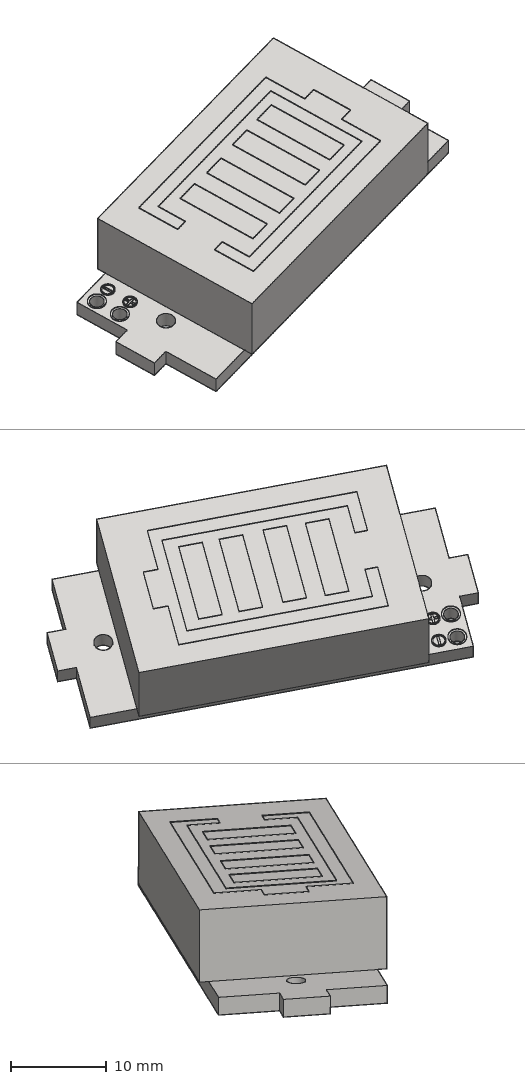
import cadquery as cq

total_length = 45.0
total_height = 10.0

plate_width = 18.0
plate_length = 41.0
plate_thickness = 2.0
tab_width = 5.0

housing_width = 20.0
housing_length = 31.0
housing_height = total_height - plate_thickness

mount_hole_diameter = 2.0
mount_hole_y = 17.05

terminal_xs = (-7.42, -4.45)
terminal_y = -19.12
terminal_hole_diameter = 1.55
terminal_recess_diameter = 2.0
terminal_recess_depth = 0.1

minus_mark_x = -7.45
plus_mark_x = -4.6
mark_y = -17.15
mark_diameter = 1.55
mark_ring_width = 0.15
mark_bar_length = 1.1
mark_bar_width = 0.22
mark_depth = 0.1

symbol_depth = 0.1
frame_half_width = 7.42
frame_top = 10.65
frame_bottom = -11.75
frame_inner_half_width = 5.9
frame_inner_top = 9.45
frame_inner_bottom = -10.4
contact_half_width = 2.4
contact_top = 12.25
charge_bar_width = 9.4
charge_bar_height = 2.5
charge_bar_centres = ((0, 6.65), (0, 2.35), (0.15, -2.4), (0, -6.9))


def centred_block(width, length, height, base_z):
    """Box centred on the Z axis, standing on base_z."""
    return cq.Workplane("XY").workplane(offset=base_z).rect(width, length).extrude(height)


def plate():
    """Base plate with an end tab on each short side and its mounting holes."""
    body = centred_block(plate_width, plate_length, plate_thickness, 0)
    body = body.union(centred_block(tab_width, total_length, plate_thickness, 0))
    mount_holes = (
        cq.Workplane("XY")
        .pushPoints([(0, mount_hole_y), (0, -mount_hole_y)])
        .circle(mount_hole_diameter / 2)
        .extrude(plate_thickness)
    )
    return body.cut(mount_holes)


def terminals():
    """Cutter for the two recessed terminal holes."""
    centres = [(x, terminal_y) for x in terminal_xs]
    holes = cq.Workplane("XY").pushPoints(centres).circle(terminal_hole_diameter / 2).extrude(plate_thickness)
    recesses = (
        cq.Workplane("XY")
        .workplane(offset=plate_thickness - terminal_recess_depth)
        .pushPoints(centres)
        .circle(terminal_recess_diameter / 2)
        .extrude(terminal_recess_depth)
    )
    return holes.union(recesses)


def polarity_mark(x, is_plus):
    """Cutter for one polarity mark in the plate top."""
    plane = cq.Workplane("XY", origin=(x, mark_y, plate_thickness - mark_depth))
    inner_radius = mark_diameter / 2 - mark_ring_width
    mark = plane.circle(mark_diameter / 2).circle(inner_radius).extrude(mark_depth)
    mark = mark.union(plane.rect(mark_bar_length, mark_bar_width).extrude(mark_depth))
    if is_plus:
        mark = mark.union(plane.rect(mark_bar_width, mark_bar_length).extrude(mark_depth))
    return mark


def battery_symbol():
    """Cutter for the battery frame, open at the bottom, and its charge bars."""
    plane = cq.Workplane("XY").workplane(offset=total_height - symbol_depth)
    right_side = [
        (contact_half_width, contact_top),
        (contact_half_width, frame_top),
        (frame_half_width, frame_top),
        (frame_half_width, frame_bottom),
        (contact_half_width, frame_bottom),
        (contact_half_width, frame_inner_bottom),
        (frame_inner_half_width, frame_inner_bottom),
        (frame_inner_half_width, frame_inner_top),
    ]
    left_side = [(-x, y) for x, y in reversed(right_side)]
    frame = plane.polyline(right_side + left_side).close().extrude(symbol_depth)
    bars = plane.pushPoints(charge_bar_centres).rect(charge_bar_width, charge_bar_height).extrude(symbol_depth)
    return frame.union(bars)


housing = centred_block(housing_width, housing_length, housing_height, plate_thickness)

result = (
    plate()
    .cut(terminals())
    .cut(polarity_mark(minus_mark_x, is_plus=False))
    .cut(polarity_mark(plus_mark_x, is_plus=True))
    .union(housing.cut(battery_symbol()))
)